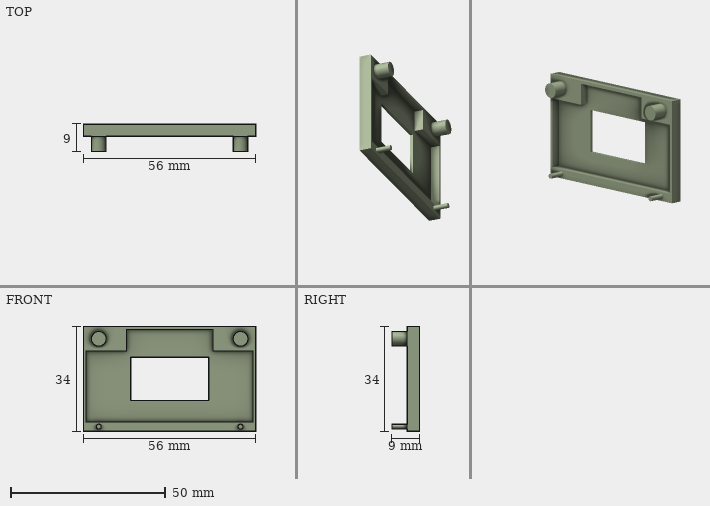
import cadquery as cq

plate_width = 56.0
plate_height = 34.0
plate_thickness = 4.0

floor_thickness = 1.0
recess_depth = plate_thickness - floor_thickness
side_wall = 0.9
bottom_wall = 3.0
shoulder_height = 8.0
bay_wall = 1.0
bay_width = 28.0

window_width = 25.2
window_height = 14.0
window_bottom = 10.0

peg_length = 5.0
peg_spacing = 46.0
large_peg_diameter = 4.8
large_peg_drop = 4.0
small_peg_diameter = 1.6
small_peg_rise = 1.5

plate_top = plate_height / 2
plate_bottom = -plate_height / 2


def centred_block(width, z_low, z_high, depth):
    """Block centred on X, running from the front face back to the given depth."""
    return cq.Workplane("XY").box(
        width, depth, z_high - z_low, centered=(True, False, False)
    ).translate((0, 0, z_low))


def recess():
    """T-shaped recess that leaves a thin floor at the back."""
    recess_bottom = plate_bottom + bottom_wall
    wide_area = centred_block(
        plate_width - 2 * side_wall, recess_bottom, plate_top - shoulder_height, recess_depth
    )
    bay = centred_block(bay_width, recess_bottom, plate_top - bay_wall, recess_depth)
    return wide_area.union(bay)


def window():
    """Rectangular opening through the whole plate."""
    z_low = plate_bottom + window_bottom
    return centred_block(window_width, z_low, z_low + window_height, plate_thickness)


def peg_pair(diameter, z):
    """Two round pegs standing forward (-Y) from the front face."""
    centres = [(-peg_spacing / 2, z), (peg_spacing / 2, z)]
    return cq.Workplane("XZ").pushPoints(centres).circle(diameter / 2).extrude(peg_length)


plate = centred_block(plate_width, plate_bottom, plate_top, plate_thickness)
plate = plate.cut(recess()).cut(window())

result = (
    plate
    .union(peg_pair(large_peg_diameter, plate_top - large_peg_drop))
    .union(peg_pair(small_peg_diameter, plate_bottom + small_peg_rise))
)